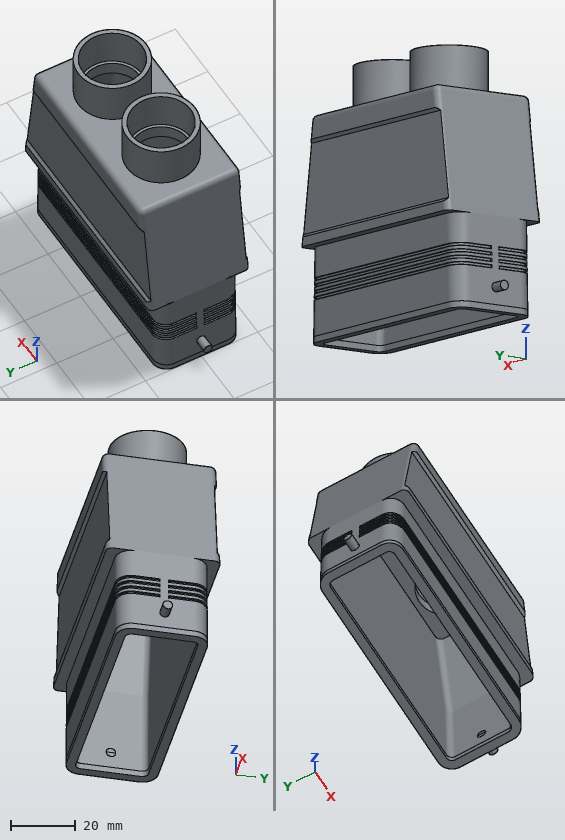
import cadquery as cq

GASKET_TOP = 2.0
PIN_HEIGHT = 7.5
HOOD_BOTTOM = 30.0
HOOD_TOP = 70.5
TOTAL_HEIGHT = 85.01

SKIRT_WIDTH = 29.0
SKIRT_BOTTOM_LENGTH = 79.5
SKIRT_CORNER_RADIUS = 5.0

HOOD_WIDTH = 36.0
HOOD_BOTTOM_LENGTH = 78.0
HOOD_TOP_LENGTH = 66.0
HOOD_EDGE_RADIUS = 2.0

PANEL_BOTTOM = 33.0
PANEL_TOP = 63.0
PANEL_DEPTH = 1.0

GROOVE_COUNT = 4
GROOVE_PITCH = 2.0
LOWEST_GROOVE = 13.95
GROOVE_HEIGHT = 0.9
GROOVE_DEPTH = 0.6
GROOVE_BRIDGE = 2.8

ENTRY_SPACING = 30.0
ENTRY_DIAMETER = 24.2
SOCKET_DIAMETER = 21.0
SOCKET_DEPTH = 13.0
CABLE_HOLE_DIAMETER = 19.0

WALL = 3.0

PIN_DIAMETER = 3.0
PIN_SPAN = 88.0


def skirt_length(z):
    """Length of the skirt at a height, tapering evenly up to the hood."""
    taper = (SKIRT_BOTTOM_LENGTH - HOOD_BOTTOM_LENGTH) / HOOD_BOTTOM
    return SKIRT_BOTTOM_LENGTH - taper * z


def drafted_block(bottom, top, bottom_length, top_length, width, corner_radius):
    """Upright block with rounded corners whose length changes from bottom to top."""
    lower = cq.Sketch().rect(bottom_length, width).vertices().fillet(corner_radius)
    upper = cq.Sketch().rect(top_length, width).vertices().fillet(corner_radius)
    return (
        cq.Workplane("XY", origin=(0, 0, bottom))
        .placeSketch(lower, upper.moved(cq.Location(cq.Vector(0, 0, top - bottom))))
        .loft(ruled=True)
    )


def skirt_block(bottom, top, inset=0.0):
    """Slice of the skirt between two heights, moved inwards by the inset."""
    return drafted_block(
        bottom,
        top,
        skirt_length(bottom) - 2 * inset,
        skirt_length(top) - 2 * inset,
        SKIRT_WIDTH - 2 * inset,
        SKIRT_CORNER_RADIUS - inset,
    )


def make_hood():
    """Upper part with leaning ends, rounded on all edges except those of its underside."""
    hood = (
        cq.Workplane("XZ")
        .moveTo(-HOOD_BOTTOM_LENGTH / 2, HOOD_BOTTOM)
        .lineTo(HOOD_BOTTOM_LENGTH / 2, HOOD_BOTTOM)
        .lineTo(HOOD_TOP_LENGTH / 2, HOOD_TOP)
        .lineTo(-HOOD_TOP_LENGTH / 2, HOOD_TOP)
        .close()
        .extrude(HOOD_WIDTH / 2, both=True)
    )
    hood = hood.edges("not (<Z)").fillet(HOOD_EDGE_RADIUS)
    return hood.cut(side_panel(-1)).cut(side_panel(1))


def side_panel(side):
    """Trapezoid bar that recesses the long side of the hood facing the given Y direction."""
    outer = side * HOOD_WIDTH / 2
    inner = outer - side * PANEL_DEPTH
    return (
        cq.Workplane("YZ")
        .polyline([
            (outer, PANEL_BOTTOM),
            (inner, PANEL_BOTTOM + PANEL_DEPTH),
            (inner, PANEL_TOP - PANEL_DEPTH),
            (outer, PANEL_TOP),
        ])
        .close()
        .extrude(HOOD_BOTTOM_LENGTH / 2, both=True)
    )


def make_groove(z):
    """Ring around the skirt at a height, with the bridge at both ends left out."""
    bottom = z - GROOVE_HEIGHT / 2
    top = z + GROOVE_HEIGHT / 2
    slab = cq.Workplane("XY", origin=(0, 0, z)).box(SKIRT_BOTTOM_LENGTH, SKIRT_WIDTH, GROOVE_HEIGHT)
    bridge = cq.Workplane("XY", origin=(0, 0, z)).box(SKIRT_BOTTOM_LENGTH, GROOVE_BRIDGE, GROOVE_HEIGHT)
    return slab.cut(skirt_block(bottom, top, GROOVE_DEPTH)).cut(bridge)


def make_cavity():
    """Hollow of the housing, open at the bottom, that narrows with the hood."""
    ceiling = HOOD_TOP - WALL
    width = SKIRT_WIDTH - 2 * WALL
    radius = SKIRT_CORNER_RADIUS - WALL
    lower = skirt_block(0, HOOD_BOTTOM, WALL)
    upper = drafted_block(
        HOOD_BOTTOM, ceiling, HOOD_BOTTOM_LENGTH - 2 * WALL, HOOD_TOP_LENGTH - 2 * WALL, width, radius
    )
    return lower.union(upper)


def entry_cylinder(diameter, bottom, top):
    """One upright cylinder at each of the two cable entries."""
    return (
        cq.Workplane("XY", origin=(0, 0, bottom))
        .rarray(ENTRY_SPACING, 1, 2, 1)
        .circle(diameter / 2)
        .extrude(top - bottom)
    )


def make_pin(side):
    """Locking pin that runs through the end wall, from the cavity to its outer end."""
    inner = skirt_length(PIN_HEIGHT) / 2 - WALL
    return (
        cq.Workplane("YZ", origin=(side * inner, 0, PIN_HEIGHT))
        .circle(PIN_DIAMETER / 2)
        .extrude(side * (PIN_SPAN / 2 - inner))
    )


cavity = make_cavity()
pins = [make_pin(side) for side in (-1, 1)]
housing = skirt_block(GASKET_TOP, HOOD_BOTTOM).union(make_hood())
housing = housing.union(entry_cylinder(ENTRY_DIAMETER, HOOD_TOP - WALL, TOTAL_HEIGHT))
housing = housing.cut(cavity)
housing = housing.cut(entry_cylinder(SOCKET_DIAMETER, TOTAL_HEIGHT - SOCKET_DEPTH, TOTAL_HEIGHT))
housing = housing.cut(entry_cylinder(CABLE_HOLE_DIAMETER, HOOD_BOTTOM, TOTAL_HEIGHT))
for index in range(GROOVE_COUNT):
    housing = housing.cut(make_groove(LOWEST_GROOVE + index * GROOVE_PITCH))
for pin in pins:
    housing = housing.cut(pin)

gasket = skirt_block(0, GASKET_TOP).cut(cavity)

result = cq.Compound.makeCompound([housing.val(), gasket.val(), *[pin.val() for pin in pins]])